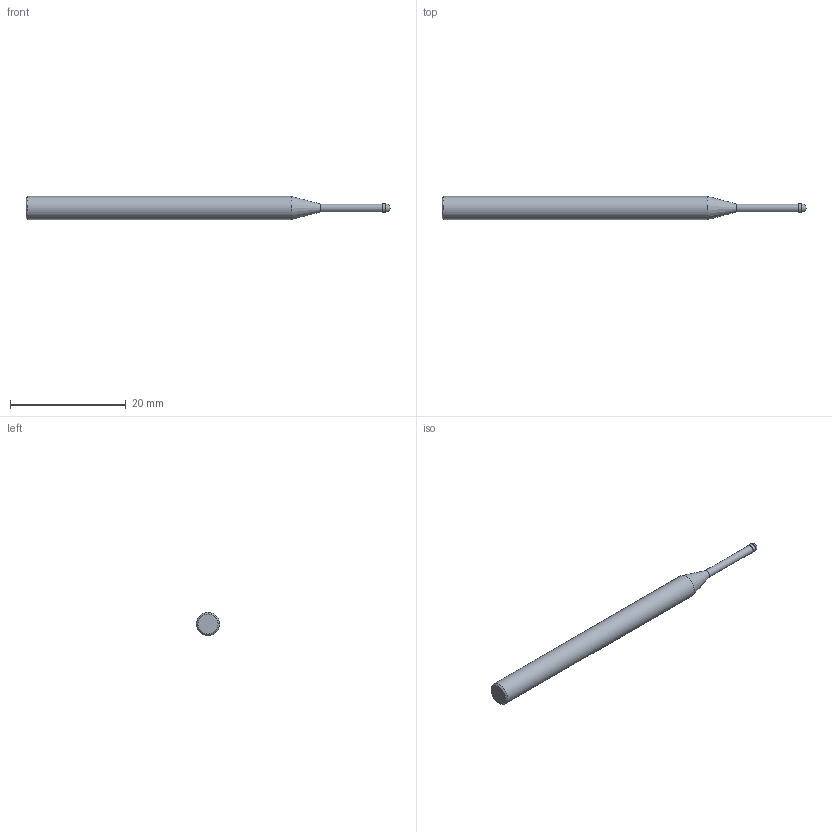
import cadquery as cq
import math

overall_length = 63.0
shank_diameter = 4.0
shank_length = 46.0
shank_chamfer = 0.25
taper_length = 5.0
neck_diameter = 1.35
head_diameter = 1.4
head_length = 1.3

shank_radius = shank_diameter / 2
neck_radius = neck_diameter / 2
ball_radius = head_diameter / 2

taper_end = shank_length + taper_length
head_start = overall_length - head_length
ball_centre = overall_length - ball_radius
ball_mid_offset = ball_radius * math.sqrt(0.5)


def half_profile():
    """Closed half section in the XY plane, from the axis out to the surface."""
    return (
        cq.Workplane("XY")
        .moveTo(0, 0)
        .lineTo(0, shank_radius - shank_chamfer)
        .lineTo(shank_chamfer, shank_radius)
        .lineTo(shank_length, shank_radius)
        .lineTo(taper_end, neck_radius)
        .lineTo(head_start, neck_radius)
        .lineTo(head_start, ball_radius)
        .lineTo(ball_centre, ball_radius)
        .threePointArc(
            (ball_centre + ball_mid_offset, ball_mid_offset),
            (overall_length, 0),
        )
        .close()
    )


result = half_profile().revolve(360, (0, 0, 0), (1, 0, 0))